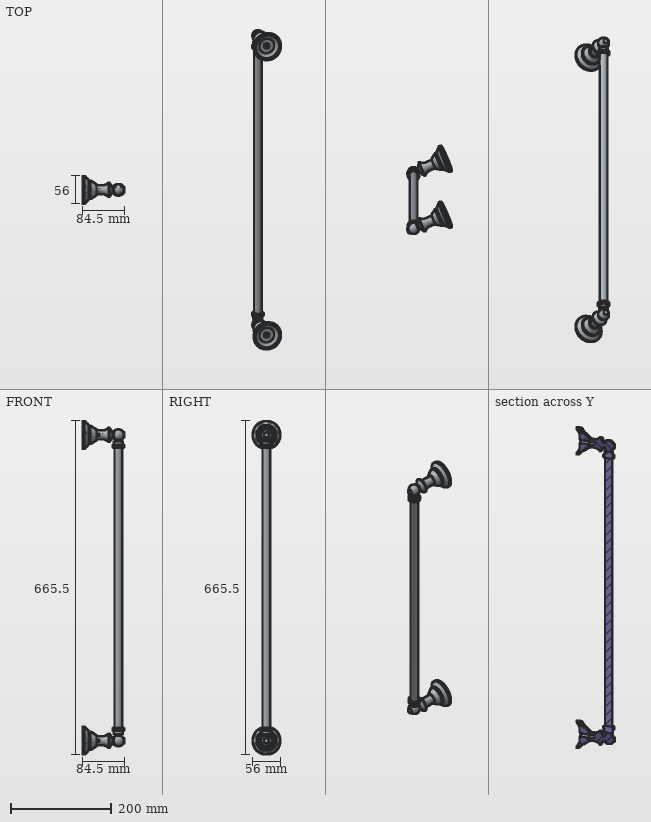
import cadquery as cq

total_length = 665.5
flange_radius = 28.0
projection = 84.5
bar_axis_x = 72.0
post_axis_z = total_length / 2 - flange_radius

rim_width = 4.5
bell_end_radius = 20.0
bead_radius = 18.5
bead_start_x = 12.5
bead_end_x = 16.5
flange_tip_radius = 11.0
flange_length = 28.0
recess_mouth_radius = 25.0
recess_lip_depth = 1.0
recess_cone_radius = 24.0
recess_floor_radius = 15.0
recess_depth = 6.5

waist_radius = 9.0
waist_end_x = 42.5
shoulder_radius = 14.5
shoulder_start_x = 52.5
shoulder_end_x = 54.0
shoulder_cone_radius = 10.0
shoulder_cone_end_x = 57.0
neck_radius = 4.5
neck_start_x = 60.5
flare_sag = 1.0
ball_radius = 11.0
ball_flat_x = 63.0
button_radius = 5.0
button_rounding = 1.0
stem_radius = 6.0

mounting_hole_radius = 5.0
mounting_hole_end_x = 8.5
pilot_hole_radius = 2.5
pilot_hole_end_x = 40.0
grub_hole_radius = 2.0
grub_hole_x = 32.0

collar_top_drop = 13.0
collar_body_radius = 9.0
ring_top_drop = 19.0
ring_radius = 12.0
ring_chamfer = 2.0
collar_bottom_drop = 26.0
bar_radius = 8.0


def sagged_point(start, end, sag):
    """Midpoint of a sloping line, pulled towards the axis to make a concave arc."""
    return ((start[0] + end[0]) / 2, (start[1] + end[1]) / 2 - sag)


def make_flange(axis_z):
    profile = (
        cq.Workplane("XY")
        .moveTo(0, recess_mouth_radius)
        .lineTo(0, flange_radius)
        .lineTo(rim_width, flange_radius)
        .lineTo(bead_start_x, bell_end_radius)
        .lineTo(bead_start_x, bead_radius)
        .lineTo(bead_end_x, bead_radius)
        .lineTo(flange_length, flange_tip_radius)
        .lineTo(flange_length, pilot_hole_radius)
        .lineTo(mounting_hole_end_x, pilot_hole_radius)
        .lineTo(mounting_hole_end_x, mounting_hole_radius)
        .lineTo(recess_depth, mounting_hole_radius)
        .lineTo(recess_depth, recess_floor_radius)
        .lineTo(recess_lip_depth, recess_cone_radius)
        .lineTo(recess_lip_depth, recess_mouth_radius)
        .close()
    )
    return profile.revolve(360, (0, 0, 0), (1, 0, 0)).translate((0, 0, axis_z))


def make_post(axis_z, inward):
    waist_end = (waist_end_x, waist_radius)
    shoulder_start = (shoulder_start_x, shoulder_radius)
    turned = (
        cq.Workplane("XY")
        .moveTo(flange_length, 0)
        .lineTo(flange_length, waist_radius)
        .lineTo(*waist_end)
        .threePointArc(sagged_point(waist_end, shoulder_start, flare_sag), shoulder_start)
        .lineTo(shoulder_end_x, shoulder_radius)
        .lineTo(shoulder_cone_end_x, shoulder_cone_radius)
        .lineTo(neck_start_x, neck_radius)
        .lineTo(bar_axis_x, neck_radius)
        .lineTo(bar_axis_x, 0)
        .close()
        .revolve(360, (0, 0, 0), (1, 0, 0))
    )
    ball_width = 2 * ball_radius
    ball_back = (
        cq.Workplane("YZ", origin=(ball_flat_x, 0, 0)).rect(ball_width, ball_width).extrude(-ball_width)
    )
    ball = cq.Workplane("XY").sphere(ball_radius).translate((bar_axis_x, 0, 0)).cut(ball_back)
    button = (
        cq.Workplane("YZ", origin=(bar_axis_x, 0, 0))
        .circle(button_radius)
        .extrude(projection - bar_axis_x)
        .faces(">X")
        .edges()
        .fillet(button_rounding)
    )
    stem = cq.Workplane("XY").center(bar_axis_x, 0).circle(stem_radius).extrude(inward * collar_top_drop)
    pilot_hole = cq.Workplane("YZ").circle(pilot_hole_radius).extrude(pilot_hole_end_x)
    grub_hole = cq.Workplane("XZ").center(grub_hole_x, 0).circle(grub_hole_radius).extrude(waist_radius)
    post = turned.union(ball).union(button).union(stem).cut(pilot_hole).cut(grub_hole)
    return post.translate((0, 0, axis_z))


def make_collar(axis_z, inward):
    profile = (
        cq.Workplane("XZ")
        .moveTo(0, inward * collar_top_drop)
        .lineTo(collar_body_radius, inward * collar_top_drop)
        .lineTo(collar_body_radius, inward * ring_top_drop)
        .lineTo(ring_radius - ring_chamfer, inward * ring_top_drop)
        .lineTo(ring_radius, inward * (ring_top_drop + ring_chamfer))
        .lineTo(ring_radius, inward * (collar_bottom_drop - ring_chamfer))
        .lineTo(ring_radius - ring_chamfer, inward * collar_bottom_drop)
        .lineTo(0, inward * collar_bottom_drop)
        .close()
    )
    return profile.revolve(360, (0, 0, 0), (0, 1, 0)).translate((bar_axis_x, 0, axis_z))


def make_bar():
    half_length = post_axis_z - collar_bottom_drop
    bottom_center = (bar_axis_x, 0, -half_length)
    return cq.Workplane("XY", origin=bottom_center).circle(bar_radius).extrude(2 * half_length)


bodies = [make_bar().val()]
for side in (-1, 1):
    bodies.append(make_flange(side * post_axis_z).val())
    bodies.append(make_post(side * post_axis_z, -side).val())
    bodies.append(make_collar(side * post_axis_z, -side).val())

result = cq.Compound.makeCompound(bodies)